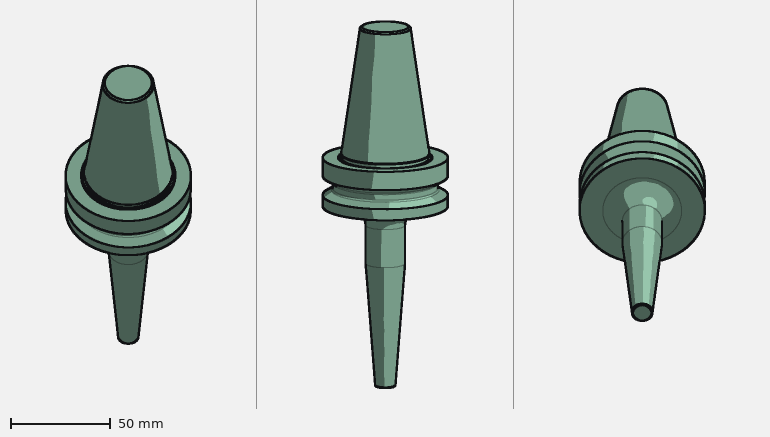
import cadquery as cq
import math

overall_length = 185.4
taper_length = 65.5
bottom_z = taper_length - overall_length

gauge_radius = 22.2
taper_ratio = 7 / 24
taper_top_radius = gauge_radius - taper_length * taper_ratio / 2
top_chamfer = 1.0

neck_radius = 21.7
neck_step_z = -0.5
recess_radius = 23.7
recess_floor_radius = 23.0
recess_depth = 0.5

flange_radius = 31.5
flange_top_z = -2.0
flange_bottom_z = -27.0
groove_floor_radius = 26.5
groove_flank_angle = 30.0
groove_depth = flange_radius - groove_floor_radius
groove_flank_height = groove_depth * math.tan(math.radians(groove_flank_angle))
groove_top_z = -11.5
groove_bottom_z = -21.3
groove_fillet = 1.1

shank_radius = 10.0
flare_radius = 9.8
straight_end_z = -56.5
tip_radius = 5.2
tip_chamfer = 0.5

flare_end_z = flange_bottom_z - flare_radius
flare_mid_offset = flare_radius * (1 - math.sqrt(0.5))

profile = (
    cq.Workplane("XZ")
    .moveTo(0, taper_length)
    .lineTo(taper_top_radius - top_chamfer, taper_length)
    .lineTo(taper_top_radius + top_chamfer * taper_ratio / 2, taper_length - top_chamfer)
    .lineTo(gauge_radius, 0)
    .lineTo(neck_radius, neck_step_z)
    .lineTo(neck_radius, flange_top_z - recess_depth)
    .lineTo(recess_floor_radius, flange_top_z - recess_depth)
    .lineTo(recess_radius, flange_top_z)
    .lineTo(flange_radius, flange_top_z)
    .lineTo(flange_radius, groove_top_z)
    .lineTo(groove_floor_radius, groove_top_z - groove_flank_height)
    .lineTo(groove_floor_radius, groove_bottom_z + groove_flank_height)
    .lineTo(flange_radius, groove_bottom_z)
    .lineTo(flange_radius, flange_bottom_z)
    .lineTo(shank_radius + flare_radius, flange_bottom_z)
    .threePointArc(
        (shank_radius + flare_mid_offset, flange_bottom_z - flare_mid_offset),
        (shank_radius, flare_end_z),
    )
    .lineTo(shank_radius, straight_end_z)
    .lineTo(tip_radius, bottom_z + tip_chamfer)
    .lineTo(tip_radius - tip_chamfer, bottom_z)
    .lineTo(0, bottom_z)
    .close()
)

body = profile.revolve(360, (0, 0, 0), (0, 1, 0))

groove_zone = cq.selectors.BoxSelector(
    (-flange_radius, -flange_radius, groove_bottom_z),
    (flange_radius, flange_radius, groove_top_z),
    boundingbox=True,
)
groove_edges = body.edges("%CIRCLE").edges(groove_zone)
floor_edges = groove_edges.edges(cq.selectors.RadiusNthSelector(0))
result = floor_edges.fillet(groove_fillet)